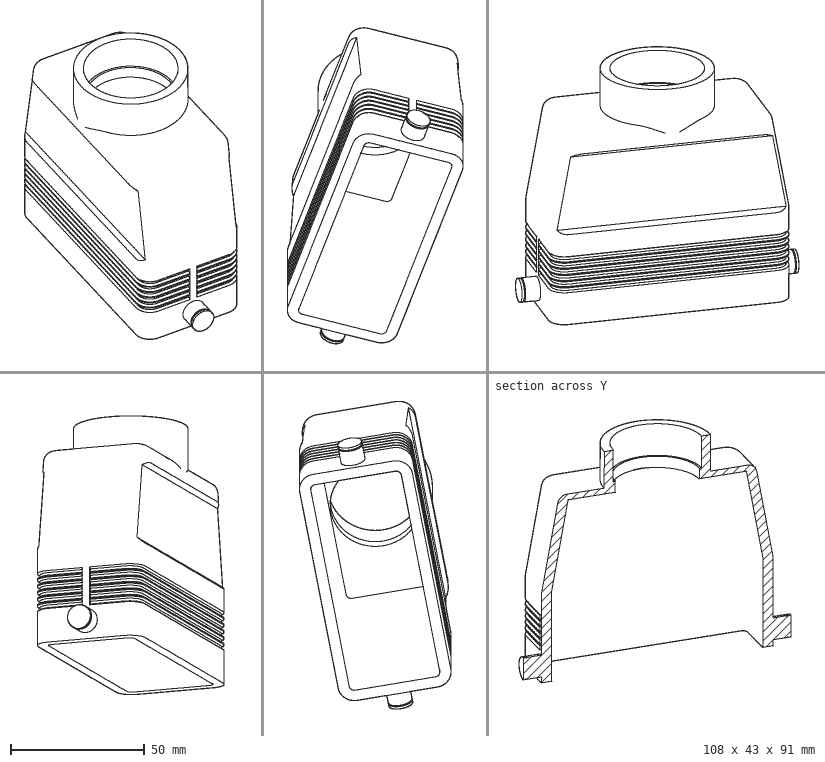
import math

import cadquery as cq

BODY_LENGTH = 93.5
BODY_WIDTH = 43.0
SHOULDER_HEIGHT = 37.0
ROOF_HEIGHT = 76.0
END_TAPER_ANGLE = 10.3
CORNER_RADIUS = 6.2
ROOF_EDGE_RADIUS = 4.0

RECESS_DEPTH = 1.75
WALL_BEHIND_RECESS = 2.5
WALL = RECESS_DEPTH + WALL_BEHIND_RECESS
ROOF_THICKNESS = 2.6

RECESS_BOTTOM = 36.4
RECESS_TOP = 68.5
RECESS_BEVEL_HEIGHT = 1.5

COLLAR_DIAMETER = BODY_WIDTH
COLLAR_TOP = 91.0
COLLAR_BOTTOM = ROOF_HEIGHT - ROOF_EDGE_RADIUS
ENTRY_HOLE_DIAMETER = 33.8
COUNTERBORE_DIAMETER = 35.5
COUNTERBORE_DEPTH = 13.0

GROOVE_COUNT = 6
GROOVE_PITCH = 2.5
GROOVE_DEPTH = 1.0
GROOVE_MOUTH = 2.1
GROOVE_FLOOR = 1.0
LOWEST_GROOVE_HEIGHT = 14.0
WEB_WIDTH = 3.0

PIN_SPAN = 108.0
PIN_DIAMETER = 9.2
PIN_HEIGHT = 7.0
PIN_ROOT = WALL / 2
PIN_RING_WIDTH = 0.4
PIN_RING_DEPTH = 0.15
PIN_RING_SETBACK = 1.0

CLEARANCE = 1.0


def tapered_block(length, width, height, corner_radius):
    """Block with upright lower ends, leaning upper ends and rounded corners."""
    lean = (height - SHOULDER_HEIGHT) * math.tan(math.radians(END_TAPER_ANGLE))
    half_length = length / 2
    outline = [
        (-half_length, 0),
        (half_length, 0),
        (half_length, SHOULDER_HEIGHT),
        (half_length - lean, height),
        (lean - half_length, height),
        (-half_length, SHOULDER_HEIGHT),
    ]
    block = cq.Workplane("XZ").polyline(outline).close().extrude(width / 2, both=True)
    return block.faces("<Y or >Y").edges("not |X").fillet(corner_radius)


def solid_hood():
    outside = tapered_block(BODY_LENGTH, BODY_WIDTH, ROOF_HEIGHT, CORNER_RADIUS)
    return outside.faces(">Z").edges().fillet(ROOF_EDGE_RADIUS)


def cavity():
    return tapered_block(
        BODY_LENGTH - 2 * WALL,
        BODY_WIDTH - 2 * WALL,
        ROOF_HEIGHT - ROOF_THICKNESS,
        CORNER_RADIUS - WALL,
    )


def face_recess(side):
    """Bevelled trough across one broad face; side is -1 or +1 along Y."""
    bevel_run = RECESS_BEVEL_HEIGHT * CLEARANCE / RECESS_DEPTH
    floor = side * (BODY_WIDTH / 2 - RECESS_DEPTH)
    mouth = side * (BODY_WIDTH / 2 + CLEARANCE)
    profile = [
        (floor, RECESS_BOTTOM + RECESS_BEVEL_HEIGHT),
        (floor, RECESS_TOP - RECESS_BEVEL_HEIGHT),
        (mouth, RECESS_TOP + bevel_run),
        (mouth, RECESS_BOTTOM - bevel_run),
    ]
    return cq.Workplane("YZ").polyline(profile).close().extrude(BODY_LENGTH / 2, both=True)


def collar():
    height = COLLAR_TOP - COLLAR_BOTTOM
    return cq.Workplane("XY").workplane(offset=COLLAR_BOTTOM).circle(COLLAR_DIAMETER / 2).extrude(height)


def cable_entry():
    """Through hole into the cavity with a wider counterbore from the collar rim."""
    hole = cq.Workplane("XY").workplane(offset=SHOULDER_HEIGHT).circle(ENTRY_HOLE_DIAMETER / 2)
    counterbore = cq.Workplane("XY").workplane(offset=COLLAR_TOP).circle(COUNTERBORE_DIAMETER / 2)
    return hole.extrude(COLLAR_TOP - SHOULDER_HEIGHT).union(counterbore.extrude(-COUNTERBORE_DEPTH))


def grip_groove(height):
    """Groove with sloping flanks around the hood outline, stopped short of the webs."""
    half_mouth = GROOVE_MOUTH / 2
    half_floor = GROOVE_FLOOR / 2
    half_lip = half_mouth + (half_mouth - half_floor) * CLEARANCE / GROOVE_DEPTH
    profile = [
        (-CLEARANCE, -half_lip),
        (-CLEARANCE, half_lip),
        (GROOVE_DEPTH, half_floor),
        (GROOVE_DEPTH, -half_floor),
    ]
    start = (0, -BODY_WIDTH / 2, height)
    slab = cq.Workplane("XY").workplane(offset=height).rect(BODY_LENGTH, BODY_WIDTH).extrude(GROOVE_PITCH)
    path = slab.edges("|Z").fillet(CORNER_RADIUS).faces("<Z").wires()
    ring = cq.Workplane("YZ", origin=start).polyline(profile).close().sweep(path)
    webs = cq.Workplane("XY").workplane(offset=height).box(2 * BODY_LENGTH, WEB_WIDTH, 2 * GROOVE_PITCH)
    return ring.cut(webs)


def locking_pin(side):
    """Round pin on one end; side is -1 or +1 along X."""
    root = side * (BODY_LENGTH / 2 - PIN_ROOT)
    tip = side * PIN_SPAN / 2
    pin = cq.Workplane("YZ").workplane(offset=root).center(0, PIN_HEIGHT).circle(PIN_DIAMETER / 2)
    pin = pin.extrude(tip - root)
    ring = cq.Workplane("YZ").workplane(offset=tip - side * PIN_RING_SETBACK).center(0, PIN_HEIGHT)
    ring = ring.circle(PIN_DIAMETER / 2).circle(PIN_DIAMETER / 2 - PIN_RING_DEPTH)
    return pin.cut(ring.extrude(-side * PIN_RING_WIDTH))


result = solid_hood().union(collar())
for side in (-1, 1):
    result = result.cut(face_recess(side))
for index in range(GROOVE_COUNT):
    result = result.cut(grip_groove(LOWEST_GROOVE_HEIGHT + index * GROOVE_PITCH))
result = result.cut(cavity()).cut(cable_entry())
for side in (-1, 1):
    result = result.union(locking_pin(side))